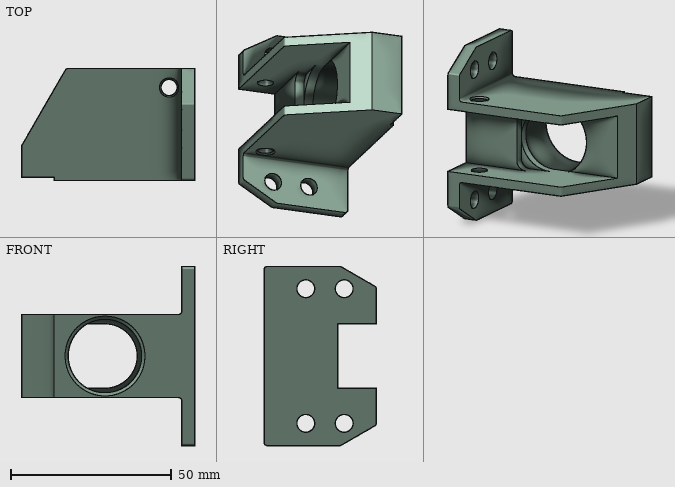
import cadquery as cq
import math

LENGTH = 54.0
DEPTH = 35.0
HEIGHT = 56.0

EDGE_RADIUS = 1.0
SLOPE_ANGLE = math.radians(30)
CUT_MARGIN = 5.6

BODY_HEIGHT = 26.0
LEFT_END_DEPTH = 11.0
SLOPE_RUN = (DEPTH - LEFT_END_DEPTH) * math.tan(SLOPE_ANGLE)
STEP_LENGTH = 10.15
STEP_DEPTH = 1.0

PLATE_THICKNESS = 4.1
PLATE_LEFT = LENGTH - PLATE_THICKNESS
PLATE_BEVEL_LENGTH = 11.2
PLATE_BEVEL_DROP = PLATE_BEVEL_LENGTH * math.tan(SLOPE_ANGLE)
PLATE_HOLE_DIAMETER = 5.5
PLATE_HOLE_DEPTHS = (13.0, 25.0)
PLATE_HOLE_HEIGHT = 21.0

BORE_X = 26.0
BORE_DIAMETER = 22.9
BORE_CHAMFER = 1.0
SLOT_HEIGHT = 20.05
SLOT_END = BORE_X + SLOT_HEIGHT / 2
SLOT_FLOOR = 17.0
SLOT_STEP = 2.95
POCKET_FLOOR = SLOT_FLOOR + SLOT_STEP
CHANNEL_FLOOR = POCKET_FLOOR + SLOT_STEP
POCKET_CORNER_RADIUS = 3.0

CROSS_HOLE_X = 46.0
CROSS_HOLE_Y = 29.05
CROSS_HOLE_DIAMETER = 5.0
CROSS_HOLE_CHAMFER = 0.5


def make_body():
    """Wedge-ended block with a shallow step at the left of its front face."""
    body = (
        cq.Workplane("XY")
        .moveTo(0, STEP_DEPTH)
        .lineTo(STEP_LENGTH, STEP_DEPTH)
        .lineTo(STEP_LENGTH, 0)
        .lineTo(LENGTH, 0)
        .lineTo(LENGTH, DEPTH)
        .lineTo(SLOPE_RUN, DEPTH)
        .lineTo(0, LEFT_END_DEPTH)
        .close()
        .extrude(BODY_HEIGHT / 2, both=True)
    )
    slope_corner = cq.selectors.NearestToPointSelector((SLOPE_RUN, DEPTH, 0))
    return body.edges(slope_corner).fillet(EDGE_RADIUS)


def make_plate():
    """Mounting plate with bevelled rear corners and all outline corners rounded."""
    half_height = HEIGHT / 2
    bevel_start = DEPTH - PLATE_BEVEL_LENGTH
    bevel_end = half_height - PLATE_BEVEL_DROP
    return (
        cq.Workplane("YZ", origin=(PLATE_LEFT, 0, 0))
        .moveTo(0, -half_height)
        .lineTo(bevel_start, -half_height)
        .lineTo(DEPTH, -bevel_end)
        .lineTo(DEPTH, bevel_end)
        .lineTo(bevel_start, half_height)
        .lineTo(0, half_height)
        .close()
        .extrude(PLATE_THICKNESS)
        .edges("|X")
        .fillet(EDGE_RADIUS)
    )


def fillet_plate_roots(part):
    """Round the two inside corners where the body meets the plate."""
    for side in (-1, 1):
        root = (PLATE_LEFT, DEPTH / 2, side * BODY_HEIGHT / 2)
        part = part.edges(cq.selectors.NearestToPointSelector(root)).fillet(EDGE_RADIUS)
    return part


def slot_block(right_end, floor):
    """Block of slot height, open at the left and rear, ending at right_end and floor."""
    return cq.Workplane("XY").box(
        right_end + CUT_MARGIN, DEPTH + CUT_MARGIN - floor, SLOT_HEIGHT, centered=(False, False, True)
    ).translate((-CUT_MARGIN, floor, 0))


def y_cylinder(diameter, start, end):
    """Cylinder along Y on the bore axis."""
    axis_point = cq.Vector(BORE_X, start, 0)
    return cq.Workplane(cq.Solid.makeCylinder(diameter / 2, end - start, axis_point, cq.Vector(0, 1, 0)))


def make_bore():
    """Front bore with its chamfered mouth."""
    bore = y_cylinder(BORE_DIAMETER, 0, SLOT_FLOOR)
    mouth = cq.Solid.makeCone(
        BORE_DIAMETER / 2 + BORE_CHAMFER,
        BORE_DIAMETER / 2,
        BORE_CHAMFER,
        cq.Vector(BORE_X, 0, 0),
        cq.Vector(0, 1, 0),
    )
    return bore.union(cq.Workplane(mouth))


def make_stepped_slot():
    """Round-ended slot, square-ended pocket and a channel running through the plate."""
    round_slot = slot_block(BORE_X, SLOT_FLOOR).union(y_cylinder(SLOT_HEIGHT, SLOT_FLOOR, POCKET_FLOOR))
    pocket = slot_block(SLOT_END, POCKET_FLOOR).edges("|Y and >X").fillet(POCKET_CORNER_RADIUS)
    channel = slot_block(LENGTH + CUT_MARGIN, CHANNEL_FLOOR)
    return round_slot.union(pocket).union(channel)


def make_plate_holes():
    """Two fixing holes in each ear of the plate."""
    centers = [(y, side * PLATE_HOLE_HEIGHT) for y in PLATE_HOLE_DEPTHS for side in (-1, 1)]
    return (
        cq.Workplane("YZ", origin=(PLATE_LEFT, 0, 0))
        .pushPoints(centers)
        .circle(PLATE_HOLE_DIAMETER / 2)
        .extrude(PLATE_THICKNESS)
    )


def make_cross_hole():
    """Hole along Z, widened by a chamfer at both outer faces of the body."""
    radius = CROSS_HOLE_DIAMETER / 2
    hole = (
        cq.Workplane("XY", origin=(CROSS_HOLE_X, CROSS_HOLE_Y, 0))
        .circle(radius)
        .extrude(BODY_HEIGHT / 2, both=True)
    )
    for side in (-1, 1):
        chamfer = cq.Solid.makeCone(
            radius + CROSS_HOLE_CHAMFER,
            radius,
            CROSS_HOLE_CHAMFER,
            cq.Vector(CROSS_HOLE_X, CROSS_HOLE_Y, side * BODY_HEIGHT / 2),
            cq.Vector(0, 0, -side),
        )
        hole = hole.union(cq.Workplane(chamfer))
    return hole


bracket = fillet_plate_roots(make_body().union(make_plate()))
for cutter in (make_bore(), make_stepped_slot(), make_plate_holes(), make_cross_hole()):
    bracket = bracket.cut(cutter)

result = bracket